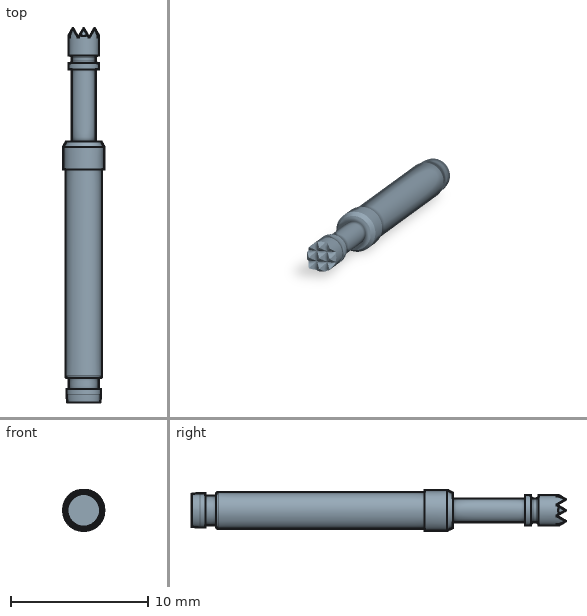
import cadquery as cq
import math


overall_length = 27.3
tail_rim_length = 1.0
tail_taper_length = 0.6
neck_end = 1.78
collar_start = 17.0
collar_end = 19.05
flange_start = overall_length - 3.0
flange_end = overall_length - 2.55
head_start = overall_length - 2.0

tail_end_radius = 1.2
tail_radius = 1.26
neck_radius = 1.1
barrel_radius = 1.35
collar_radius = 1.5
shaft_radius = 0.88
head_radius = 1.12

barrel_round = 0.2
groove_round = 0.15

collar_chamfer_length = 0.42
collar_chamfer_depth = 0.22

points_per_side = 3
point_pitch = head_radius * math.sin(math.radians(45))
notch_angle = 60.0
notch_depth = point_pitch / 2 / math.tan(math.radians(notch_angle / 2))

DIAGONAL = math.sqrt(0.5)


def round_midpoint(center, radius, r_sign, y_sign):
    """Middle of a quarter round about `center`, on the side given by the two signs."""
    offset = radius * DIAGONAL
    return (center[0] + r_sign * offset, center[1] + y_sign * offset)


def tail_taper_midpoint():
    """Middle of the arc that leaves the tail cylinder tangentially and narrows to the end face."""
    narrowing = tail_radius - tail_end_radius
    arc_radius = (tail_taper_length**2 + narrowing**2) / (2 * narrowing)
    half_angle = math.asin(tail_taper_length / arc_radius) / 2
    radius = tail_radius - arc_radius * (1 - math.cos(half_angle))
    return (radius, tail_taper_length - arc_radius * math.sin(half_angle))


def turned_body():
    """Barrel, collar and plunger as one revolved profile of (radius, Y) points."""
    barrel_center = (barrel_radius - barrel_round, neck_end + barrel_round)
    groove_wall_radius = shaft_radius + groove_round
    lower_groove_center = (groove_wall_radius, flange_end + groove_round)
    upper_groove_center = (groove_wall_radius, head_start - groove_round)

    profile = (
        cq.Workplane("XY")
        .moveTo(0, 0)
        .lineTo(tail_end_radius, 0)
        .threePointArc(tail_taper_midpoint(), (tail_radius, tail_taper_length))
        .lineTo(tail_radius, tail_rim_length)
        .lineTo(neck_radius, tail_rim_length)
        .lineTo(neck_radius, neck_end)
        .lineTo(barrel_center[0], neck_end)
        .threePointArc(
            round_midpoint(barrel_center, barrel_round, 1, -1),
            (barrel_radius, barrel_center[1]),
        )
        .lineTo(barrel_radius, collar_start)
        .lineTo(collar_radius, collar_start)
        .lineTo(collar_radius, collar_end - collar_chamfer_length)
        .lineTo(collar_radius - collar_chamfer_depth, collar_end)
        .lineTo(shaft_radius, collar_end)
        .lineTo(shaft_radius, flange_start)
        .lineTo(head_radius, flange_start)
        .lineTo(head_radius, flange_end)
        .lineTo(groove_wall_radius, flange_end)
        .threePointArc(
            round_midpoint(lower_groove_center, groove_round, -1, -1),
            (shaft_radius, lower_groove_center[1]),
        )
        .lineTo(shaft_radius, upper_groove_center[1])
        .threePointArc(
            round_midpoint(upper_groove_center, groove_round, -1, 1),
            (groove_wall_radius, head_start),
        )
        .lineTo(head_radius, head_start)
        .lineTo(head_radius, overall_length)
        .lineTo(0, overall_length)
        .close()
    )
    return profile.revolve(360, (0, 0, 0), (0, 1, 0))


def crown_notch(center):
    """V notch running along Z, centred at X = `center`, open at the crown tip."""
    return (
        cq.Workplane("XY")
        .moveTo(center - point_pitch / 2, overall_length)
        .lineTo(center, overall_length - notch_depth)
        .lineTo(center + point_pitch / 2, overall_length)
        .close()
        .extrude(2 * head_radius, both=True)
    )


def cut_crown(body):
    """Cut crossing rows of V notches, leaving a point between each pair of notches."""
    for index in range(points_per_side + 1):
        notch = crown_notch((index - points_per_side / 2) * point_pitch)
        crossing_notch = notch.rotate((0, 0, 0), (0, 1, 0), 90)
        body = body.cut(notch).cut(crossing_notch)
    return body


result = cut_crown(turned_body())